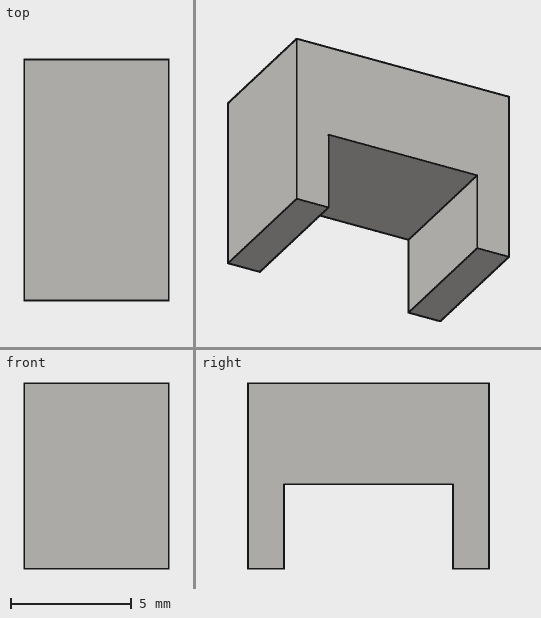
import cadquery as cq

width = 6.0
length = 10.0
height = 7.7

leg_thickness = 1.5
channel_height = 3.5
channel_length = length - 2 * leg_thickness

block = cq.Workplane("XY").box(width, length, height, centered=(True, True, False))
channel = cq.Workplane("XY").box(width, channel_length, channel_height, centered=(True, True, False))

result = block.cut(channel)